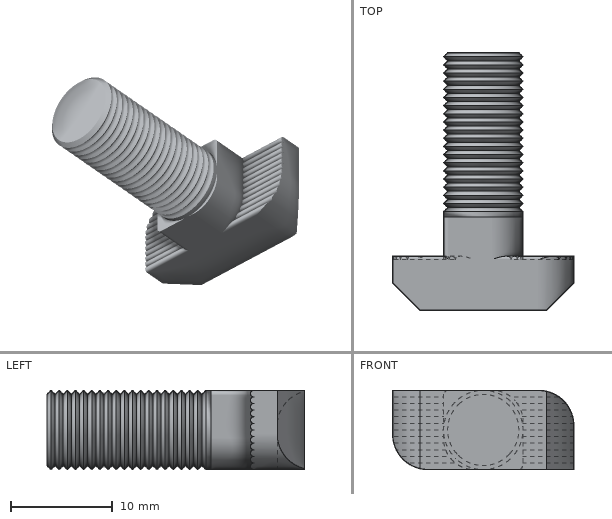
import cadquery as cq


bolt_length = 25.3
head_width = 17.8
thickness = 7.8

head_depth = 5.31
head_corner_radius = 3.5
head_chamfer = 2.68
ridge_count = 12
ridge_radius = thickness / ridge_count / 2
ridge_base = head_depth - ridge_radius

thread_length = 15.6
crest_count = 19
pitch = thread_length / (crest_count + 0.5)
thread_depth = pitch / 2
collar_length = 0.5
crest_radius = thickness / 2
root_radius = crest_radius - thread_depth

shank_start = bolt_length - thread_length - collar_length
neck_turning_radius = 3.04
neck_edge_radius = 0.5
neck_root = head_chamfer

half_width = head_width / 2
half_thickness = thickness / 2


def square_cut_bar(width, length):
    """Bar from Y = 0 along +Y, with its X-Z cross-section centred on the bolt axis."""
    return cq.Workplane("XZ").rect(width, thickness).extrude(-length)


def turning_edges(bar):
    """Long edges at (-X, -Z) and (+X, +Z)."""
    return bar.edges("|Y").edges("(<X and <Z) or (>X and >Z)")


def plain_edges(bar):
    """Long edges at (-X, +Z) and (+X, -Z)."""
    return bar.edges("|Y").edges("(<X and >Z) or (>X and <Z)")


def make_ridged_slab():
    """Slab across the whole head whose back is a row of half-round ridges along X."""
    profile = cq.Workplane("YZ").moveTo(0, -half_thickness).lineTo(ridge_base, -half_thickness)
    for ridge in range(ridge_count):
        ridge_center = -half_thickness + (2 * ridge + 1) * ridge_radius
        profile = profile.threePointArc(
            (head_depth, ridge_center),
            (ridge_base, ridge_center + ridge_radius),
        )
    return profile.lineTo(0, half_thickness).close().extrude(half_width, both=True)


def make_head():
    """Head with rounded turning corners, chamfered front ends and a ridged back."""
    bar = square_cut_bar(head_width, head_depth)
    bar = turning_edges(bar).fillet(head_corner_radius)
    plan = (
        cq.Workplane("XY")
        .polyline([
            (-half_width, head_depth),
            (-half_width, head_chamfer),
            (-half_width + head_chamfer, 0),
            (half_width - head_chamfer, 0),
            (half_width, head_chamfer),
            (half_width, head_depth),
        ])
        .close()
        .extrude(half_thickness, both=True)
    )
    return bar.intersect(plan).intersect(make_ridged_slab())


def make_neck():
    """Square neck that runs from inside the head to the start of the shank."""
    bar = square_cut_bar(thickness, shank_start - neck_root)
    bar = turning_edges(bar).fillet(neck_turning_radius)
    bar = plain_edges(bar).fillet(neck_edge_radius)
    return bar.translate((0, neck_root, 0))


def make_threaded_shank():
    """Plain collar followed by ring-shaped thread crests, turned about the Y axis."""
    thread_start = shank_start + collar_length
    profile = (
        cq.Workplane("XY")
        .moveTo(0, shank_start)
        .lineTo(crest_radius, shank_start)
        .lineTo(crest_radius, thread_start)
    )
    for crest in range(crest_count):
        root_y = thread_start + (crest + 0.5) * pitch
        profile = profile.lineTo(root_radius, root_y)
        profile = profile.lineTo(crest_radius, root_y + pitch / 2)
    profile = profile.lineTo(root_radius, bolt_length).lineTo(0, bolt_length).close()
    return profile.revolve(360, (0, 0, 0), (0, 1, 0))


head_and_neck = make_head().union(make_neck())
threaded_shank = make_threaded_shank()

result = cq.Compound.makeCompound([head_and_neck.solids().val(), threaded_shank.val()])